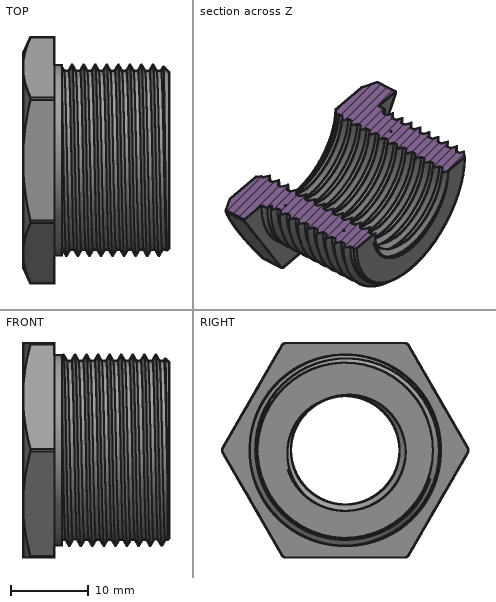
import cadquery as cq
import math

overall_length = 19.0
thread_axis = (1, 0, 0)

flange_thickness = 4.05
across_flats = 27.87
across_corners = 31.97
flange_chamfer_angle = 25.0

collar_diameter = 24.79
collar_end = 5.05

pitch = 1.5
flank_half_angle = 30.0
ridge_embed = 0.1
overrun = 2 * pitch

outer_root_radius = 11.63
outer_crest_radius = 12.43
outer_crest_angle = -88.0
end_chamfer = 1.05

inner_root_radius = 7.87
inner_crest_radius = 7.035
inner_crest_angle = -126.0
countersink_diameter = 16.73


def revolved(profile):
    """Solid of revolution about X from (x, radius) points."""
    return cq.Workplane("XY").polyline(profile).close().revolve(360, (0, 0, 0), thread_axis)


def cylinder(start, end, radius):
    return cq.Workplane("YZ", origin=(start, 0, 0)).circle(radius).extrude(end - start)


def thread_ridge(root_radius, crest_radius, crest_angle):
    """Helical ridge that overruns both ends of the part; its crest passes crest_angle at X = 0."""
    outward = math.copysign(1, crest_radius - root_radius)
    base_radius = root_radius - outward * ridge_embed
    half_base = abs(crest_radius - base_radius) * math.tan(math.radians(flank_half_angle))

    helix = cq.Wire.makeHelix(pitch, overall_length + 2 * overrun, base_radius)
    profile = cq.Workplane("XZ").polyline(
        [(base_radius, -half_base), (crest_radius, 0), (base_radius, half_base)]
    )
    ridge = profile.close().sweep(cq.Workplane(helix), isFrenet=True)
    ridge = ridge.rotate((0, 0, 0), (0, 1, 0), 90)
    ridge = ridge.rotate((0, 0, 0), thread_axis, crest_angle + 90)
    return ridge.translate((-overrun, 0, 0))


def long_rod(radius):
    """Cylinder that reaches past both ends of the thread ridges."""
    return cylinder(-2 * overrun, overall_length + 2 * overrun, radius)


def hex_flange():
    hexagon = (
        cq.Workplane("YZ")
        .polygon(6, across_flats / math.cos(math.pi / 6))
        .extrude(flange_thickness)
    )
    face_radius = across_flats / 2
    rim_radius = across_corners / 2
    chamfer_depth = (rim_radius - face_radius) * math.tan(math.radians(flange_chamfer_angle))
    turned_blank = revolved([
        (0, 0),
        (0, face_radius),
        (chamfer_depth, rim_radius),
        (flange_thickness, rim_radius),
        (flange_thickness, 0),
    ])
    return hexagon.intersect(turned_blank)


def external_thread():
    """Threaded rod trimmed to the collar face and the chamfered free end."""
    ridge = thread_ridge(outer_root_radius, outer_crest_radius, outer_crest_angle)
    clear_radius = outer_crest_radius + end_chamfer
    envelope = revolved([
        (collar_end, 0),
        (collar_end, clear_radius),
        (overall_length - 2 * end_chamfer, clear_radius),
        (overall_length, outer_crest_radius - end_chamfer),
        (overall_length, 0),
    ])
    return long_rod(outer_root_radius).union(ridge).intersect(envelope)


def countersink():
    radius = countersink_diameter / 2
    return revolved([(0, 0), (0, radius), (radius, 0)])


def threaded_bore():
    """The space inside the internal thread: root cylinder less the ridge."""
    ridge = thread_ridge(inner_root_radius, inner_crest_radius, inner_crest_angle)
    return long_rod(inner_root_radius).cut(ridge)


collar = cylinder(flange_thickness, collar_end, collar_diameter / 2)
body = hex_flange().union(collar).union(external_thread())
result = body.cut(countersink()).cut(threaded_bore())